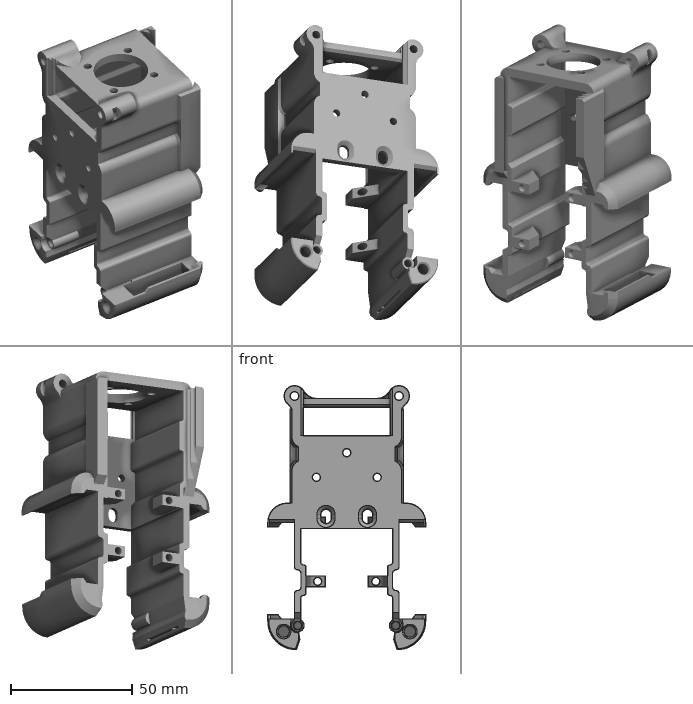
import cadquery as cq
import math

DEPTH = 45.0
HALF_WIDTH = 32.6
PLATE = 3.65
INNER_X = -18.9
UPPER_X = INNER_X - PLATE
LOWER_X = -21.6
ROOF_Z = 103.7
FRONT_BOTTOM_Z = 50.0
WALL_BOTTOM_Z = 12.7

BUMP_DEPTH = 2.05
UPPER_BUMP_Z = 80.8
UPPER_GROOVE_DEPTH = 2.6
UPPER_GROOVE_HALF = 2.95
UPPER_GROOVE_FLARE = 3.9
LOWER_BUMP_Z = 28.7
LOWER_GROOVE_HALF = 2.9
LOWER_GROOVE_FLARE = 2.65
LOWER_GROOVE_DEPTH = 2.65
BUMP_HALF = 5.3

WINDOW_SILL_Z = 88.4
RIDGE = 1.0
RIDGE_START_Y = 0.6
RIDGE_GROOVE = 0.6
ROOF_EDGE_CHAMFER = 1.15
MOTOR_HOLE_D = 22.5
MOTOR_Y = 24.2
MOTOR_SCREW_D = 3.5
MOTOR_SCREW_PITCH = 19.8

TOP_SCREW_Z = 81.3
TOP_SCREW_D = 3.25
SIDE_SCREW_X = 12.55
SIDE_SCREW_Z = 71.15
SIDE_SCREW_D = 3.2
SLOT_X = 8.55
SLOT_Z = 55.0
SLOT_D = 4.3
SLOT_TRAVEL = 1.6
SLOT_SINK_D = 7.5

BARREL_LENGTH = 15.0
BARREL_R = 4.3
BARREL_X = -21.55
BARREL_TOP_Z = 108.99
BARREL_Z = BARREL_TOP_Z - BARREL_R
BARREL_HOLE_D = 3.5
BARREL_FILLET_R = 6.4
BARREL_TAIL_R = 4.8
FILLET_TIP_X = -12.4
FILLET_REAR_TRIM = 3.3
NOTCH_DEPTH = 1.4
NOTCH_VEE = 0.9
NOTCH_Y = (3.9, 6.2)

RIM = 0.95
PLATE_START_Y = 38.4
PLATE_BOTTOM_Z = 55.5
PLATE_TOP_Z = ROOF_Z - PLATE
TOOTH_PITCH = 2.95
TOOTH_DEPTH = 3.1
LEFT_PLATE_END_Y = 54.0
LEFT_SLOPE_TOP_Z = 74.7
LEFT_TOOTH_COUNT = 3
TOOTH_CREST_TRIM = 0.7
RIGHT_PLATE_END_Y = 48.2
TOOTH_FLOOR_Z = PLATE_BOTTOM_Z + RIGHT_PLATE_END_Y - DEPTH

WING_TOP_Z = 60.5
WING_R = 8.1
WING_BOTTOM_Z = 52.4
SKIRT = 0.7
LIP_HEIGHT = 1.75
LIP_TIP_X = -28.4
LIP_ROOT_X = -26.9
LIP_Y = 41.0
REAR_CHAMFER = 2.9
WING_FRONT_CHAMFER = 1.3

RAIL_TOP_Z = 61.9
RAIL_WIDTH = 1.8
TAB_TIP_X = -8.8
TAB_TIP_Y = 37.0
TAB_HEIGHT = 4.5
TAB_HOLE_X = -12.0
TAB_HOLE_D = 3.2
TAB_LOW_Z = 28.2
TAB_HIGH_Z = 52.5

PIN_X = -20.2
PIN_Z = 10.0
PIN_R = 2.6
PIN_HOLE_D = 3.25
PIN_START_Y = 2.7
PIN_HOLE_DEPTH = 10.0
PIN_HOLE_CHAMFER = 0.3

FOOT_R = 11.8
FOOT_ARC_X = FOOT_R - HALF_WIDTH
FOOT_EDGE = 0.45
HOOK_X = -19.35
HOOK_Z = 4.2
HOOK_TOP_X = -19.75
HOOK_TOP_Z = 6.6
RECESS_X = -23.0
RECESS_CLEARANCE = 0.4
RIM_WALL = 1.1
RIM_START_Y = 15.2
POCKET_Y = (10.0, 39.0)
POCKET_X = -23.2
WINDOWS_Y = ((12.0, 32.0), (33.5, 38.0))
WINDOW_TOP_Z = 1.9
FOOT_HOLE_X = -26.05
FOOT_HOLE_Z = 7.5
FOOT_HOLE_D = 4.7
FOOT_HOLE_CHAMFER = 0.65


def box(x0, x1, y0, y1, z0, z1):
    return cq.Workplane("XY").box(x1 - x0, y1 - y0, z1 - z0, centered=False).translate((x0, y0, z0))


def front_plane(y=0.0):
    """Sketch plane with X right and Z up; a negative extrusion runs towards +Y."""
    return cq.Workplane("XZ", origin=(0, y, 0))


def rod(x, z, diameter, y0, y1):
    return front_plane(y0).center(x, z).circle(diameter / 2).extrude(y0 - y1)


def cone(x, z, y0, y1, radius0, radius1):
    solid = cq.Solid.makeCone(radius0, radius1, y1 - y0, cq.Vector(x, y0, z), cq.Vector(0, 1, 0))
    return cq.Workplane(solid)


def prism_xz(points, y0, y1):
    return front_plane(y0).polyline(points).close().extrude(y0 - y1)


def prism_xy(points, z0, z1):
    return cq.Workplane("XY", origin=(0, 0, z0)).polyline(points).close().extrude(z1 - z0)


def prism_yz(points, x0, x1):
    return cq.Workplane("YZ", origin=(x0, 0, 0)).polyline(points).close().extrude(x1 - x0)


def mirrored(body):
    return body.mirror("YZ")


def upper_groove_outline(sketch):
    """Continues an outline down the outer face through the groove with its rounded flanks."""
    floor_x = UPPER_X + UPPER_GROOVE_DEPTH
    flank_r = (UPPER_GROOVE_DEPTH ** 2 + UPPER_GROOVE_FLARE ** 2) / (2 * UPPER_GROOVE_DEPTH)
    floor_top = UPPER_BUMP_Z + UPPER_GROOVE_HALF
    floor_bottom = UPPER_BUMP_Z - UPPER_GROOVE_HALF
    return (
        sketch.lineTo(UPPER_X, floor_top + UPPER_GROOVE_FLARE)
        .radiusArc((floor_x, floor_top), -flank_r)
        .lineTo(floor_x, floor_bottom)
        .radiusArc((UPPER_X, floor_bottom - UPPER_GROOVE_FLARE), -flank_r)
    )


def upper_wall():
    """Upper wall with rounded roof corner and outer groove."""
    foot_z = WING_TOP_Z - PLATE
    start = front_plane().moveTo(INNER_X, foot_z).lineTo(INNER_X, ROOF_Z)
    start = start.radiusArc((UPPER_X, ROOF_Z - PLATE), -PLATE)
    wall = upper_groove_outline(start).lineTo(UPPER_X, foot_z).close().extrude(-DEPTH)
    return wall.union(inner_bump(UPPER_BUMP_Z))


def lower_wall():
    """Lower wall with S-shaped groove flanks and a chamfered front corner."""
    groove = flared_strip(LOWER_X, LOWER_GROOVE_DEPTH, LOWER_BUMP_Z, LOWER_GROOVE_HALF, LOWER_GROOVE_FLARE)
    wall = box(LOWER_X, INNER_X, 0, DEPTH, WALL_BOTTOM_Z, WING_TOP_Z)
    corner_top = WALL_BOTTOM_Z + PIN_START_Y
    corner = [(0, corner_top), (PIN_START_Y, WALL_BOTTOM_Z), (0, WALL_BOTTOM_Z)]
    wall = wall.cut(groove).union(inner_bump(LOWER_BUMP_Z))
    return wall.cut(prism_yz(corner, LOWER_X, INNER_X))


def flared_strip(base_x, height, center_z, half, flare):
    """Strip along Y that rises from base_x towards +X through S-shaped flanks."""
    radius = (height ** 2 + flare ** 2) / (4 * max(height, flare))
    top_x = base_x + height
    mid_x = base_x + height / 2
    mid = half + flare / 2
    return (
        front_plane()
        .moveTo(base_x, center_z + half + flare)
        .radiusArc((mid_x, center_z + mid), -radius)
        .radiusArc((top_x, center_z + half), radius)
        .lineTo(top_x, center_z - half)
        .radiusArc((mid_x, center_z - mid), radius)
        .radiusArc((base_x, center_z - half - flare), -radius)
        .close()
        .extrude(-DEPTH)
    )


def inner_bump(center_z):
    return flared_strip(INNER_X, BUMP_DEPTH, center_z, BUMP_HALF, BUMP_DEPTH)


def wall_rail():
    """Rail with a sloped top behind the front plate."""
    points = [
        (INNER_X, FRONT_BOTTOM_Z),
        (INNER_X + RAIL_WIDTH, FRONT_BOTTOM_Z),
        (INNER_X + RAIL_WIDTH, RAIL_TOP_Z - RAIL_WIDTH),
        (INNER_X, RAIL_TOP_Z),
    ]
    return prism_xz(points, 0, DEPTH)


def ridge_line():
    """Plan outline of the grooved ridge beside the window, from front to rear."""
    crest_x = INNER_X + RIDGE
    crest_y = RIDGE_START_Y + RIDGE
    return [
        (INNER_X, RIDGE_START_Y),
        (crest_x, crest_y),
        (crest_x - RIDGE_GROOVE, crest_y + RIDGE_GROOVE),
        (crest_x, crest_y + 2 * RIDGE_GROOVE),
        (crest_x, PLATE),
    ]


def window_ridge():
    return prism_xy(ridge_line() + [(INNER_X, PLATE)], WINDOW_SILL_Z, ROOF_Z)


def top_barrel():
    diagonal = BARREL_R * math.sqrt(0.5)
    tail_x = BARREL_X - diagonal
    tail_z = BARREL_Z - diagonal
    tail_line = (UPPER_X - tail_x) - BARREL_TAIL_R * (1 - math.sqrt(0.5))
    tail_end_z = tail_z - tail_line - BARREL_TAIL_R * math.sqrt(0.5)
    tail = (
        front_plane()
        .moveTo(BARREL_X, BARREL_Z)
        .lineTo(tail_x, tail_z)
        .lineTo(tail_x + tail_line, tail_z - tail_line)
        .radiusArc((UPPER_X, tail_end_z), BARREL_TAIL_R)
        .lineTo(INNER_X, tail_end_z)
        .lineTo(INNER_X, BARREL_Z)
        .close()
        .extrude(-BARREL_LENGTH)
    )
    barrel = rod(BARREL_X, BARREL_Z, 2 * BARREL_R, 0, BARREL_LENGTH).union(tail)
    window_front = [(INNER_X, 0)] + ridge_line() + [(0, PLATE), (0, 0)]
    barrel = barrel.cut(prism_xy(window_front, ROOF_Z - PLATE, BARREL_Z + BARREL_R))
    barrel = barrel.union(roof_fillet())
    return barrel.cut(barrel_notch())


def roof_fillet():
    """Concave fillet from the barrel to the roof, trimmed to a blunt point in plan."""
    center_z = ROOF_Z + BARREL_FILLET_R
    rise = center_z - BARREL_Z
    reach = BARREL_R + BARREL_FILLET_R
    center_x = BARREL_X + math.sqrt(reach ** 2 - rise ** 2)
    contact = BARREL_R / reach
    contact_x = BARREL_X + (center_x - BARREL_X) * contact
    contact_z = BARREL_Z + rise * contact
    sheet = (
        front_plane()
        .moveTo(BARREL_X, ROOF_Z - PLATE / 2)
        .lineTo(BARREL_X, BARREL_Z)
        .lineTo(contact_x, contact_z)
        .radiusArc((center_x, ROOF_Z), -BARREL_FILLET_R)
        .lineTo(center_x, ROOF_Z - PLATE / 2)
        .close()
        .extrude(-BARREL_LENGTH)
    )
    start_x = INNER_X + RIDGE
    tip_front_y = PLATE + FILLET_TIP_X - start_x
    tip_rear_y = BARREL_LENGTH - FILLET_REAR_TRIM
    plan = [(BARREL_X, RIDGE_START_Y)] + ridge_line()
    plan += [
        (FILLET_TIP_X, tip_front_y),
        (FILLET_TIP_X, tip_rear_y),
        (FILLET_TIP_X - FILLET_REAR_TRIM, BARREL_LENGTH),
        (BARREL_X, BARREL_LENGTH),
    ]
    return sheet.intersect(prism_xy(plan, ROOF_Z - PLATE, BARREL_Z + BARREL_R))


def barrel_notch():
    """V-bottomed notch in the outer side, with one slanted end."""
    outer_x = BARREL_X - BARREL_R
    edge_x = outer_x + NOTCH_DEPTH
    vee_x = edge_x + NOTCH_VEE
    half = math.sqrt(BARREL_R ** 2 - (BARREL_X - edge_x) ** 2)
    section = [
        (outer_x, BARREL_Z - half),
        (edge_x, BARREL_Z - half),
        (vee_x, BARREL_Z),
        (edge_x, BARREL_Z + half),
        (outer_x, BARREL_Z + half),
    ]
    plan = [
        (outer_x, NOTCH_Y[0]),
        (vee_x, NOTCH_Y[0]),
        (vee_x, NOTCH_Y[1]),
        (edge_x, NOTCH_Y[1]),
        (outer_x, NOTCH_Y[1] + NOTCH_DEPTH),
    ]
    notch = prism_xz(section, 0, BARREL_LENGTH)
    return notch.intersect(prism_xy(plan, BARREL_Z - BARREL_R, BARREL_Z + BARREL_R))


def rear_plate(side_profile, plan_cut):
    """Plate behind the wall, proud of it on the outside; plan_cut shapes its latch teeth."""
    outer_x = UPPER_X - RIM
    plate = prism_yz(side_profile, outer_x, INNER_X)
    top_bevel = [
        (outer_x, PLATE_TOP_Z - RIM),
        (outer_x, PLATE_TOP_Z),
        (UPPER_X, PLATE_TOP_Z),
    ]
    plate = plate.cut(prism_xz(top_bevel, PLATE_START_Y - RIM, LEFT_PLATE_END_Y))
    plate = plate.cut(front_bevel_void()).cut(groove_relief())
    return plate.cut(plan_cut)


def front_bevel_void():
    """Space outside the wall that shrinks at 45 degrees and so bevels the front of the plate."""
    far_x = -2 * HALF_WIDTH
    far_z = ROOF_Z + PLATE
    start = front_plane(PLATE_START_Y - RIM).moveTo(far_x, 0).lineTo(far_x, far_z).lineTo(UPPER_X, far_z)
    void = upper_groove_outline(start).lineTo(UPPER_X, 0).close().extrude(-RIM, taper=45)
    floor = box(
        UPPER_X,
        UPPER_X + UPPER_GROOVE_DEPTH,
        PLATE_START_Y - RIM,
        PLATE_START_Y,
        UPPER_BUMP_Z - UPPER_GROOVE_HALF,
        UPPER_BUMP_Z + UPPER_GROOVE_HALF,
    )
    return void.union(floor)


def groove_relief():
    """Small V relief where the groove floor meets the plate."""
    floor_x = UPPER_X + UPPER_GROOVE_DEPTH
    points = [
        (floor_x - RIM, PLATE_START_Y),
        (floor_x, PLATE_START_Y),
        (floor_x, PLATE_START_Y + RIM),
    ]
    return prism_xy(points, UPPER_BUMP_Z - UPPER_GROOVE_HALF, UPPER_BUMP_Z + UPPER_GROOVE_HALF)


def left_rear_plate():
    front_y = PLATE_START_Y - RIM
    profile = [
        (front_y, PLATE_BOTTOM_Z),
        (DEPTH, PLATE_BOTTOM_Z),
        (LEFT_PLATE_END_Y, LEFT_SLOPE_TOP_Z),
        (LEFT_PLATE_END_Y, PLATE_TOP_Z),
        (front_y, PLATE_TOP_Z),
    ]
    root_x = INNER_X - TOOTH_DEPTH
    points = [(INNER_X, DEPTH)]
    for tooth in range(LEFT_TOOTH_COUNT):
        root_y = LEFT_PLATE_END_Y - (LEFT_TOOTH_COUNT - tooth) * TOOTH_PITCH
        crest_y = root_y + TOOTH_PITCH
        points += [(root_x, root_y), (INNER_X, crest_y)]
    points += [(0, LEFT_PLATE_END_Y), (0, DEPTH)]
    gaps = prism_xy(points, TOOTH_FLOOR_Z, PLATE_TOP_Z)
    blunt = box(
        INNER_X - TOOTH_CREST_TRIM,
        INNER_X,
        LEFT_PLATE_END_Y - TOOTH_CREST_TRIM,
        LEFT_PLATE_END_Y,
        TOOTH_FLOOR_Z,
        PLATE_TOP_Z,
    )
    return rear_plate(profile, gaps.union(blunt))


def right_rear_plate():
    """Built on the left side; the frame mirrors it."""
    front_y = PLATE_START_Y - RIM
    overhang = RIGHT_PLATE_END_Y - DEPTH
    profile = [
        (front_y, PLATE_BOTTOM_Z),
        (DEPTH, PLATE_BOTTOM_Z),
        (RIGHT_PLATE_END_Y, TOOTH_FLOOR_Z),
        (RIGHT_PLATE_END_Y, PLATE_TOP_Z),
        (front_y, PLATE_TOP_Z),
    ]
    gap = [(INNER_X, DEPTH), (INNER_X - overhang, DEPTH), (INNER_X, RIGHT_PLATE_END_Y)]
    return rear_plate(profile, prism_xy(gap, TOOTH_FLOOR_Z, PLATE_TOP_Z))


def wing():
    """Quarter-round wing with a thin outer skirt and a lip at the rear end."""
    lip_z = WING_BOTTOM_Z - LIP_HEIGHT
    body = (
        front_plane()
        .moveTo(LOWER_X, WING_TOP_Z)
        .lineTo(WING_R - HALF_WIDTH, WING_TOP_Z)
        .radiusArc((-HALF_WIDTH, WING_TOP_Z - WING_R), -WING_R)
        .lineTo(-HALF_WIDTH, lip_z)
        .lineTo(LOWER_X, lip_z)
        .close()
        .extrude(-DEPTH)
    )
    body = body.intersect(rear_taper(WING_R - HALF_WIDTH, WING_TOP_Z - WING_R, WING_R, 1))
    skirt_x = SKIRT - HALF_WIDTH
    below = [
        (0, lip_z),
        (0, WING_BOTTOM_Z + WING_FRONT_CHAMFER),
        (WING_FRONT_CHAMFER, WING_BOTTOM_Z),
        (LIP_Y, WING_BOTTOM_Z),
        (LIP_Y + LIP_HEIGHT, lip_z),
    ]
    beside_lip = [
        (LIP_TIP_X, lip_z),
        (LIP_ROOT_X, WING_BOTTOM_Z),
        (LOWER_X, WING_BOTTOM_Z),
        (LOWER_X, lip_z),
    ]
    return body.cut(prism_yz(below, skirt_x, LOWER_X)).cut(prism_xz(beside_lip, 0, DEPTH))


def rear_taper(arc_x, arc_z, radius, up):
    """Envelope around a quarter-round part that narrows at the rear; up is +1 or -1."""
    start_y = DEPTH - REAR_CHAMFER
    small = radius - REAR_CHAMFER
    tip = rod(arc_x, arc_z, 2 * radius, 0, start_y)
    tip = tip.union(cone(arc_x, arc_z, start_y, DEPTH, radius, small))
    top = [(0, 0), (0, radius), (start_y, radius), (DEPTH, small), (DEPTH, 0)]
    top_points = [(y, arc_z + up * z) for y, z in top]
    side = [(0, 0), (-radius, 0), (-radius, start_y), (-small, DEPTH), (0, DEPTH)]
    side_points = [(arc_x + x, y) for x, y in side]
    z_far = arc_z - up * radius
    inner = prism_yz(top_points, arc_x, 0)
    outer = prism_xy(side_points, min(arc_z, z_far), max(arc_z, z_far))
    rest = box(arc_x, 0, 0, DEPTH, min(arc_z, z_far), max(arc_z, z_far))
    return tip.union(inner).union(outer).union(rest)


def screw_tab(center_z):
    """Tab with a 45 degree front face that carries a rear screw."""
    points = [
        (INNER_X, TAB_TIP_Y - (TAB_TIP_X - INNER_X)),
        (TAB_TIP_X, TAB_TIP_Y),
        (TAB_TIP_X, DEPTH),
        (INNER_X, DEPTH),
    ]
    tab = prism_xy(points, center_z - TAB_HEIGHT / 2, center_z + TAB_HEIGHT / 2)
    return tab.cut(rod(TAB_HOLE_X, center_z, TAB_HOLE_D, 0, DEPTH))


def lower_barrel():
    """Barrel hanging under the wall, joined to it by a short web."""
    barrel = rod(PIN_X, PIN_Z, 2 * PIN_R, PIN_START_Y, BARREL_LENGTH)
    web = box(LOWER_X, INNER_X, PIN_START_Y, BARREL_LENGTH, PIN_Z, WALL_BOTTOM_Z)
    hole_r = PIN_HOLE_D / 2
    sink_r = hole_r + PIN_HOLE_CHAMFER
    sink = cone(PIN_X, PIN_Z, PIN_START_Y, PIN_START_Y + PIN_HOLE_CHAMFER, sink_r, hole_r)
    return barrel.union(web).cut(rod(PIN_X, PIN_Z, PIN_HOLE_D, 0, PIN_START_Y + PIN_HOLE_DEPTH)).cut(sink)


def front_plate():
    floor_x = UPPER_X + UPPER_GROOVE_DEPTH
    plate = box(floor_x, -floor_x, 0, PLATE, FRONT_BOTTOM_Z, WINDOW_SILL_Z)
    plate = plate.cut(rod(0, TOP_SCREW_Z, TOP_SCREW_D, 0, PLATE))
    for side in (-1, 1):
        plate = plate.cut(rod(side * SIDE_SCREW_X, SIDE_SCREW_Z, SIDE_SCREW_D, 0, PLATE))
        plate = plate.cut(countersunk_slot(side * SLOT_X))
    return plate


def countersunk_slot(x):
    sink = (SLOT_SINK_D - SLOT_D) / 2
    slot_length = SLOT_D + SLOT_TRAVEL
    sink_length = SLOT_SINK_D + SLOT_TRAVEL
    slot = front_plane().center(x, SLOT_Z).slot2D(slot_length, SLOT_D, 90).extrude(-PLATE)
    mouth = front_plane().center(x, SLOT_Z).slot2D(sink_length, SLOT_SINK_D, 90).extrude(-sink, taper=45)
    return slot.union(mouth)


def roof():
    under_z = ROOF_Z - PLATE
    profile = [
        (PLATE, ROOF_Z),
        (DEPTH, ROOF_Z),
        (DEPTH, under_z),
        (PLATE + ROOF_EDGE_CHAMFER, under_z),
        (PLATE, under_z + ROOF_EDGE_CHAMFER),
    ]
    plate = prism_yz(profile, INNER_X, -INNER_X)
    top = cq.Workplane("XY", origin=(0, MOTOR_Y, under_z))
    screws = top.rect(MOTOR_SCREW_PITCH, MOTOR_SCREW_PITCH, forConstruction=True).vertices()
    plate = plate.cut(top.circle(MOTOR_HOLE_D / 2).extrude(PLATE))
    return plate.cut(screws.circle(MOTOR_SCREW_D / 2).extrude(PLATE))


def frame_side():
    side = upper_wall().union(lower_wall()).union(window_ridge()).union(top_barrel())
    side = side.union(wing()).union(lower_barrel()).union(wall_rail())
    for z in (TAB_LOW_Z, TAB_HIGH_Z):
        side = side.union(screw_tab(z))
    return side.cut(rod(BARREL_X, BARREL_Z, BARREL_HOLE_D, 0, BARREL_LENGTH))


def make_frame():
    left = frame_side().union(left_rear_plate())
    right = mirrored(frame_side().union(right_rear_plate()))
    return front_plate().union(roof()).union(left).union(right)


def foot_blank():
    """Quarter-round section with a hooked inner edge, tapered at the rear."""
    rim_z = WALL_BOTTOM_Z + LIP_HEIGHT
    blank = (
        front_plane()
        .moveTo(-HALF_WIDTH, rim_z)
        .lineTo(-HALF_WIDTH, FOOT_R)
        .radiusArc((FOOT_ARC_X, 0), -FOOT_R)
        .lineTo(HOOK_X, HOOK_Z)
        .lineTo(HOOK_TOP_X, HOOK_TOP_Z)
        .lineTo(INNER_X, WALL_BOTTOM_Z)
        .lineTo(INNER_X, rim_z)
        .close()
        .extrude(-DEPTH)
    )
    front_edges = blank.faces("<Y").edges()
    lower_edges = front_edges.filter(lambda edge: edge.Center().z < PIN_Z - PIN_R)
    return lower_edges.chamfer(FOOT_EDGE)


def foot_top_cut():
    """Leaves a thin outer rim and a lip at the rear above the flat top."""
    rim_z = WALL_BOTTOM_Z + LIP_HEIGHT
    above_front = [
        (0, WALL_BOTTOM_Z),
        (RIM_START_Y, WALL_BOTTOM_Z),
        (RIM_START_Y + LIP_HEIGHT, rim_z),
        (0, rim_z),
    ]
    above_middle = [
        (0, WALL_BOTTOM_Z),
        (LIP_Y, WALL_BOTTOM_Z),
        (LIP_Y + LIP_HEIGHT, rim_z),
        (0, rim_z),
    ]
    beside_lip = [
        (LIP_ROOT_X, WALL_BOTTOM_Z),
        (LIP_TIP_X, rim_z),
        (INNER_X, rim_z),
        (INNER_X, WALL_BOTTOM_Z),
    ]
    cut = prism_yz(above_front, -HALF_WIDTH, INNER_X)
    cut = cut.union(prism_yz(above_middle, RIM_WALL - HALF_WIDTH, INNER_X))
    return cut.union(prism_xz(beside_lip, 0, DEPTH))


def foot_pocket():
    """Pocket that follows the round outside and opens through the inner edge in two windows."""
    pocket_r = FOOT_R - RIM_WALL
    end_z = FOOT_R - math.sqrt(pocket_r ** 2 - (POCKET_X - FOOT_ARC_X) ** 2)
    pocket = (
        front_plane(POCKET_Y[0])
        .moveTo(FOOT_ARC_X - pocket_r, WALL_BOTTOM_Z)
        .lineTo(FOOT_ARC_X - pocket_r, FOOT_R)
        .radiusArc((POCKET_X, end_z), -pocket_r)
        .lineTo(POCKET_X, WALL_BOTTOM_Z)
        .close()
        .extrude(POCKET_Y[0] - POCKET_Y[1])
    )
    for y0, y1 in WINDOWS_Y:
        pocket = pocket.union(box(POCKET_X, INNER_X, y0, y1, RIM_WALL, WINDOW_TOP_Z))
    return pocket


def barrel_recess():
    """Open recess at the front that clears the lower barrel and its web."""
    recess = rod(PIN_X, PIN_Z, 2 * (PIN_R + RECESS_CLEARANCE), 0, BARREL_LENGTH)
    return recess.union(box(RECESS_X, INNER_X, 0, BARREL_LENGTH, PIN_Z, WALL_BOTTOM_Z))


def foot_hole():
    hole_r = FOOT_HOLE_D / 2
    hole = rod(FOOT_HOLE_X, FOOT_HOLE_Z, FOOT_HOLE_D, 0, POCKET_Y[0])
    sink_r = hole_r + FOOT_HOLE_CHAMFER
    return hole.union(cone(FOOT_HOLE_X, FOOT_HOLE_Z, 0, FOOT_HOLE_CHAMFER, sink_r, hole_r))


def make_foot():
    foot = foot_blank().intersect(rear_taper(FOOT_ARC_X, FOOT_R, FOOT_R, -1))
    return foot.cut(foot_top_cut()).cut(foot_pocket()).cut(barrel_recess()).cut(foot_hole())


frame = make_frame()
left_foot = make_foot()
right_foot = mirrored(left_foot)
result = cq.Compound.makeCompound([frame.val(), left_foot.val(), right_foot.val()])